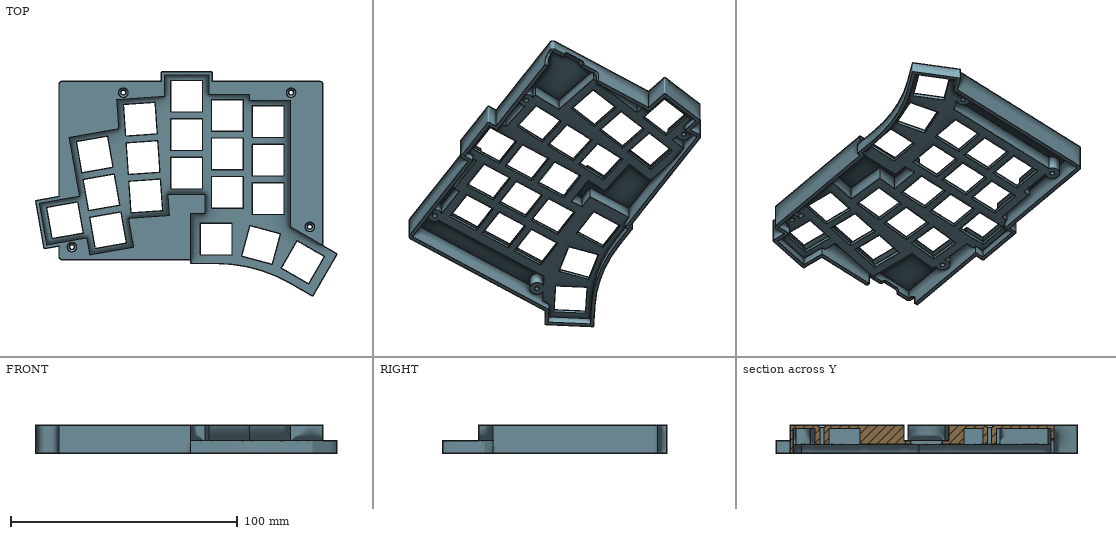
import cadquery as cq
import math

case_height = 12.5
plate_top = 5.7
plate_bottom = 4.0
ceiling_thickness = 1.5
wall = 1.5

block_width = 116.7
block_depth = 79.0
block_corner_radius = 1.6

column_pitch = 18.0
row_pitch = 17.0
row_places = (-1, 0, 1)
switch_hole = 13.9
cap_half_width = 9.82
cap_half_depth = 9.33
frame_corner_radius = 0.5

middle_x = 56.5
middle_y = 55.3
index_drop = 8.5
inner_drop = 11.2
ring = (37.2, 45.2, 4.0)
pinky = (18.8, 29.85, 10.0)
middle = (middle_x, middle_y, 0.0)
index = (middle_x + column_pitch, middle_y - index_drop, 0.0)
inner = (middle_x + 2 * column_pitch, middle_y - inner_drop, 0.0)

outer_drop = 9.35

thumb_x = 69.5
thumb_y = 9.2
thumb_arc_radius = 76.6
thumb_step_angle = 15.0

screw_diameter = 2.0
countersink_diameter = 4.2
countersink_angle = 90.0
boss_radius = 3.2
screws = [(28.5, 73.9), (102.6, 73.9), (110.9, 14.6), (5.8, 5.65)]

opening_height = 6.4
opening_front_y = 54.5
opening_corner_radius = 1.45
rear_opening_end_x = 5.5
rear_opening_radius = 3.7
usb_center_y = 67.1
usb_width = 9.0
usb_top = 8.4
usb_corner_radius = 1.45
usb_chamfer = 0.4


def shifted(key, along, across):
    """A switch place moved within its own tilted frame."""
    x, y, tilt = key
    c = math.cos(math.radians(tilt))
    s = math.sin(math.radians(tilt))
    return (x + along * c - across * s, y + along * s + across * c, tilt)


def thumb(number):
    """Thumb switch place, counted from the left."""
    angle = math.radians(number * thumb_step_angle)
    x = thumb_x + thumb_arc_radius * math.sin(angle)
    y = thumb_y - thumb_arc_radius * (1 - math.cos(angle))
    return (x, y, -number * thumb_step_angle)


def top_of(column):
    """Rear switch of a column."""
    return shifted(column, 0, row_pitch)


def bottom_of(column):
    """Front switch of a column."""
    return shifted(column, 0, -row_pitch)


outer = shifted(pinky, -column_pitch, -outer_drop)
thumbs = [thumb(number) for number in range(3)]
columns = [pinky, ring, middle, index, inner]
switches = [shifted(column, 0, row * row_pitch) for column in columns for row in row_places]
switches += [outer] + thumbs


def edge(key, side, margin):
    """Line along one side of a switch's cap area: a point on it and its direction angle."""
    along, across = {
        "left": (-cap_half_width - margin, 0),
        "right": (cap_half_width + margin, 0),
        "top": (0, cap_half_depth + margin),
        "bottom": (0, -cap_half_depth - margin),
    }[side]
    x, y, tilt = shifted(key, along, across)
    return (x, y, tilt if side in ("top", "bottom") else tilt + 90)


def meet(first, second):
    """Crossing point of two lines."""
    x1, y1, a1 = first
    x2, y2, a2 = second
    a1 = math.radians(a1)
    a2 = math.radians(a2)
    reach = ((x2 - x1) * math.sin(a2) - (y2 - y1) * math.cos(a2)) / math.sin(a2 - a1)
    return (x1 + reach * math.cos(a1), y1 + reach * math.sin(a1))


def switch_field(margin, thumb_margin, bottom, top):
    """Prism over all switches, widened by a margin; the thumb fan has its own margin."""
    edges = [
        edge(thumbs[0], "left", thumb_margin),
        edge(bottom_of(index), "bottom", -margin),
        edge(index, "left", margin),
        edge(bottom_of(middle), "bottom", margin),
        edge(ring, "right", margin),
        edge(bottom_of(ring), "bottom", margin),
        edge(pinky, "right", margin),
        edge(bottom_of(pinky), "bottom", margin),
        edge(pinky, "left", margin),
        edge(outer, "bottom", margin),
        edge(outer, "left", margin),
        edge(outer, "top", margin),
        edge(pinky, "left", margin),
        edge(top_of(pinky), "top", margin),
        edge(ring, "left", margin),
        edge(top_of(ring), "top", margin),
        edge(middle, "left", margin),
        edge(top_of(middle), "top", margin),
        edge(middle, "right", margin),
        edge(top_of(index), "top", margin),
        edge(index, "right", margin),
        edge(top_of(inner), "top", margin),
        edge(inner, "right", margin),
        edge(thumbs[2], "top", thumb_margin),
        edge(thumbs[2], "right", thumb_margin),
        edge(thumbs[2], "bottom", thumb_margin),
    ]
    corners = [meet(a, b) for a, b in zip(edges, edges[1:])]
    fan = [edge(key, "bottom", thumb_margin)[:2] for key in thumbs]
    start = meet(edge(thumbs[0], "bottom", thumb_margin), edges[0])
    outline = (
        cq.Workplane("XY", origin=(0, 0, bottom))
        .polyline([start] + corners + [fan[2]])
        .threePointArc(fan[1], fan[0])
        .close()
    )
    return outline.extrude(top - bottom)


def block(inset, bottom, top):
    """Prism over the electronics block, drawn in from its sides by the inset."""
    return (
        cq.Workplane("XY", origin=(block_width / 2, block_depth / 2, bottom))
        .rect(block_width - 2 * inset, block_depth - 2 * inset)
        .extrude(top - bottom)
    )


def outside():
    """Block and switch frame joined, with their free upright corners rounded."""
    pick_reach = 0.1
    frame_corners = [
        (top_of(middle), "top", "left"),
        (top_of(middle), "top", "right"),
        (outer, "top", "left"),
        (outer, "bottom", "left"),
        (thumbs[0], "bottom", "left"),
        (thumbs[2], "bottom", "right"),
        (thumbs[2], "top", "right"),
    ]
    frame = switch_field(wall, wall, 0, case_height)
    for key, *sides in frame_corners:
        x, y = meet(*[edge(key, side, wall) for side in sides])
        near = cq.selectors.BoxSelector(
            (x - pick_reach, y - pick_reach, 0), (x + pick_reach, y + pick_reach, case_height)
        )
        frame = frame.edges(near).fillet(frame_corner_radius)
    body = block(0, 0, case_height).edges("|Z and (<X or >Y)").fillet(block_corner_radius)
    return body.union(frame)


def electronics_cavity():
    """Hollow of the block above the plate underside, around the switch field and bosses."""
    cavity = block(wall, plate_bottom, case_height - ceiling_thickness)
    cavity = cavity.cut(switch_field(wall, 2 * wall, plate_bottom, case_height))
    bosses = (
        cq.Workplane("XY", origin=(0, 0, plate_bottom))
        .pushPoints(screws)
        .circle(boss_radius)
        .extrude(case_height - plate_bottom)
    )
    return cavity.cut(bosses)


def board_pocket():
    """Pocket below the plate that follows the whole outline."""
    return block(wall, 0, plate_bottom).union(switch_field(0, 0, 0, plate_bottom))


def switch_holes():
    """Square cutters for all switches."""
    holes = cq.Workplane("XY")
    for x, y, tilt in switches:
        hole = cq.Workplane("XY").rect(switch_hole, switch_hole).extrude(case_height)
        holes = holes.add(hole.rotate((0, 0, 0), (0, 0, 1), tilt).translate((x, y, 0)))
    return holes.combine()


def usb_port(margin, reach):
    """Rounded prism through the left wall, from outside it up to the given reach."""
    return (
        cq.Workplane("XY")
        .box(wall + reach, usb_width + 2 * margin, usb_top + margin, centered=(False, True, False))
        .translate((-wall, usb_center_y, 0))
        .edges("|X and >Z")
        .fillet(usb_corner_radius)
    )


def connector_opening():
    """Low opening in the left and rear walls with a taller port in the left wall."""
    side = (
        cq.Workplane("XY")
        .box(2 * wall, block_depth + wall - opening_front_y, opening_height, centered=False)
        .translate((-wall, opening_front_y, 0))
        .edges("|X and >Z and <Y")
        .fillet(opening_corner_radius)
    )
    rear = (
        cq.Workplane("XY")
        .box(rear_opening_end_x + wall, 2 * wall, opening_height, centered=False)
        .translate((-wall, block_depth - wall, 0))
        .edges("|Y and >Z and >X")
        .fillet(rear_opening_radius)
    )
    usb = usb_port(0, 2 * wall)
    usb_lead_in = usb_port(usb_chamfer, usb_chamfer).faces(">X").chamfer(usb_chamfer)
    return side.union(rear).union(usb).union(usb_lead_in)


result = outside().cut(switch_field(0, wall, plate_top, case_height))

result = result.cut(electronics_cavity())
result = result.cut(board_pocket())

result = result.cut(connector_opening())
result = result.cut(switch_holes())
result = (
    result.faces(">Z")
    .workplane(origin=(0, 0, case_height))
    .pushPoints(screws)
    .cskHole(screw_diameter, countersink_diameter, countersink_angle)
)